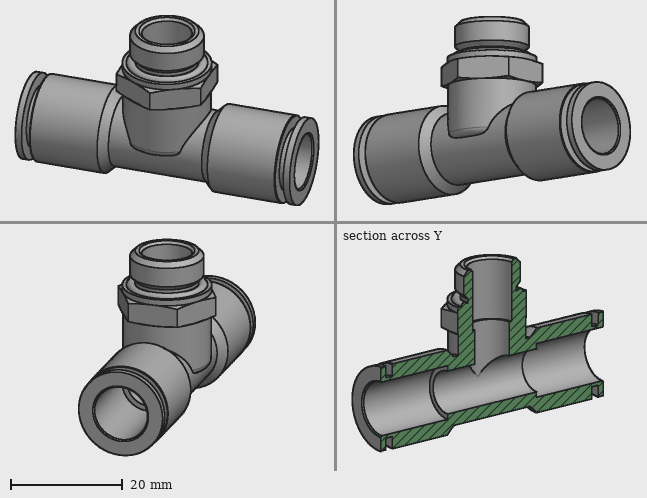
import cadquery as cq


run_length = 52
run_diameter = 13
passage_diameter = 8.0
socket_diameter = 10.0
socket_depth = 15.6
socket_chamfer = 0.25

body_diameter = 16.0
body_face_diameter = 15.8
release_ring_diameter = 15.85
release_ring_thickness = 1.2
release_neck_start = 1.35
release_neck_diameter = 11.45
body_start = 2.7
body_edge_length = 0.15
shoulder_start = 15.55
shoulder_length = 1.6

barrel_diameter = 15.8
barrel_bottom = 0.3
barrel_round = 1.25

hex_corners = 18.45
hex_bottom = 10.4
hex_top = 14.4
hex_chamfer_height = 0.3
collar_diameter = 16.0
collar_top = 15.5

seal_center_radius = 6.45
seal_section_radius = 0.86
seal_center_height = 15.35

thread_diameter = 13.25
thread_tip_diameter = 11.4
thread_bottom = 17.5
thread_top = 22.0
thread_chamfer = (thread_diameter - thread_tip_diameter) / 2
undercut_diameter = 11.45
undercut_top = thread_bottom - (thread_diameter - undercut_diameter) / 2

branch_bore_diameter = 9.0
branch_mouth_diameter = 10.0
branch_bore_bottom = hex_bottom
mouth_depth = (branch_mouth_diameter - branch_bore_diameter) / 2


def run_profile_end():
    """Revolved half of the run, from its end face at -X to the middle."""
    end = -run_length / 2
    ring_radius = release_ring_diameter / 2
    body_radius = body_diameter / 2
    neck_radius = release_neck_diameter / 2
    face_radius = body_face_diameter / 2
    run_radius = run_diameter / 2
    return (
        cq.Workplane("XY")
        .moveTo(end, 0)
        .lineTo(end, ring_radius)
        .lineTo(end + release_ring_thickness, ring_radius)
        .lineTo(end + release_neck_start, neck_radius)
        .lineTo(end + body_start, neck_radius)
        .lineTo(end + body_start, face_radius)
        .lineTo(end + body_start + body_edge_length, body_radius)
        .lineTo(end + shoulder_start, body_radius)
        .lineTo(end + shoulder_start + shoulder_length, run_radius)
        .lineTo(0, run_radius)
        .lineTo(0, 0)
        .close()
        .revolve(360, (0, 0, 0), (1, 0, 0))
    )


def cylinder(diameter, bottom, top):
    """Cylinder on the branch axis between two heights."""
    return cq.Workplane("XY").workplane(offset=bottom).circle(diameter / 2).extrude(top - bottom)


def hexagon():
    """Hexagon with corners on the Y axis and bevelled corners at both ends."""
    prism = (
        cq.Workplane("XY")
        .workplane(offset=hex_bottom)
        .transformed(rotate=(0, 0, 90))
        .polygon(6, hex_corners)
        .extrude(hex_top - hex_bottom)
    )
    bevel_length = (hex_corners - collar_diameter) / 2
    turned = cylinder(hex_corners, hex_bottom, hex_top)
    turned = turned.faces(">Z").chamfer(hex_chamfer_height, bevel_length)
    turned = turned.faces("<Z").chamfer(hex_chamfer_height, bevel_length)
    return prism.intersect(turned)


def thread_end():
    """Plain thread cylinder with tip chamfer, run-out cone and undercut."""
    thread_radius = thread_diameter / 2
    undercut_radius = undercut_diameter / 2
    return (
        cq.Workplane("XZ")
        .moveTo(0, hex_top)
        .lineTo(undercut_radius, hex_top)
        .lineTo(undercut_radius, undercut_top)
        .lineTo(thread_radius, thread_bottom)
        .lineTo(thread_radius, thread_top - thread_chamfer)
        .lineTo(thread_tip_diameter / 2, thread_top)
        .lineTo(0, thread_top)
        .close()
        .revolve(360, (0, 0, 0), (0, 1, 0))
    )


def seal():
    """Round sealing ring at the foot of the thread."""
    return cq.Workplane("XY").add(
        cq.Solid.makeTorus(seal_center_radius, seal_section_radius, cq.Vector(0, 0, seal_center_height))
    )


def run_bore():
    """Through passage with a wider tube socket and chamfered mouth at each end."""
    passage = (
        cq.Workplane("YZ")
        .workplane(offset=-run_length / 2)
        .circle(passage_diameter / 2)
        .extrude(run_length)
    )
    socket = (
        cq.Workplane("YZ")
        .workplane(offset=-run_length / 2)
        .circle(socket_diameter / 2)
        .extrude(socket_depth)
    )
    mouth = (
        cq.Workplane("YZ")
        .workplane(offset=-run_length / 2)
        .circle(socket_diameter / 2 + socket_chamfer)
        .workplane(offset=socket_chamfer)
        .circle(socket_diameter / 2)
        .loft()
    )
    end = socket.union(mouth)
    return passage.union(end).union(end.mirror("YZ"))


def branch_bore():
    """Stepped bore from the thread tip down to the run passage."""
    mouth = (
        cq.Workplane("XY")
        .workplane(offset=thread_top - mouth_depth)
        .circle(branch_bore_diameter / 2)
        .workplane(offset=mouth_depth)
        .circle(branch_mouth_diameter / 2)
        .loft()
    )
    bore = cylinder(branch_bore_diameter, branch_bore_bottom, thread_top)
    return cylinder(passage_diameter, 0, thread_top).union(bore).union(mouth)


run_half = run_profile_end()
run = run_half.union(run_half.mirror("YZ"))
barrel = cylinder(barrel_diameter, barrel_bottom, hex_bottom).faces("<Z").edges().fillet(barrel_round)
collar = cylinder(collar_diameter, hex_top, collar_top)

branch = barrel.union(hexagon()).union(collar).union(thread_end()).union(seal())
result = run.union(branch).cut(run_bore()).cut(branch_bore())